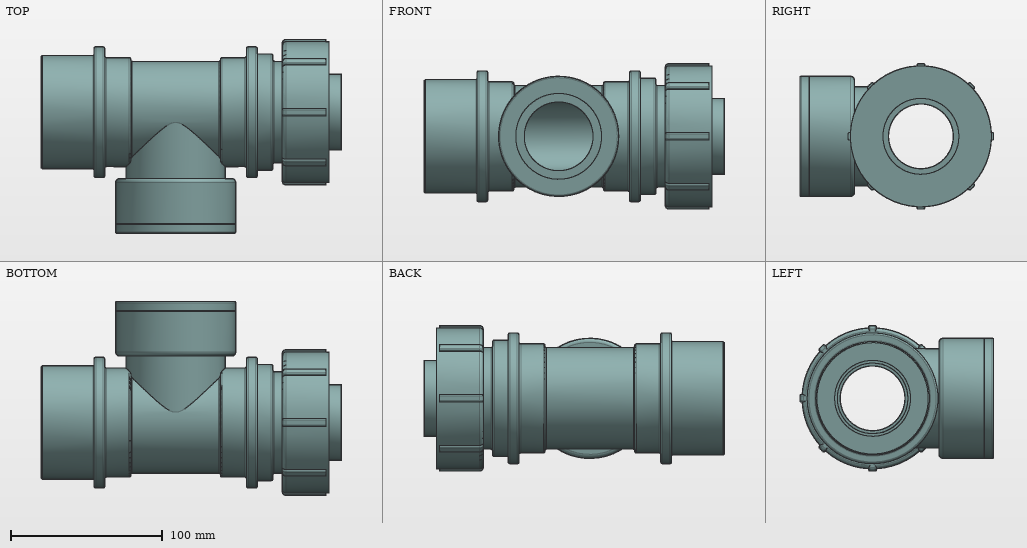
import cadquery as cq


overall_length = 198.0
branch_x = 88.7
left_flange_x = 34.8
flange_width = 7.1
collar_length = 17.2
left_collar_x = left_flange_x + flange_width
body_start_x = left_collar_x + collar_length
body_end_x = 2 * branch_x - body_start_x
right_flange_x = body_end_x + collar_length
thread_x = right_flange_x + flange_width
thread_end_x = 152.9
nut_x = 159.0
nut_length = 30.9
nut_end_x = nut_x + nut_length

spigot_dia = 75.0
flange_dia = 86.3
collar_dia = 72.0
body_dia = 67.1
thread_dia = 76.8
tail_dia = 50.0

spigot_chamfer = 0.8
spigot_root_fillet = 0.5
edge_fillet = 1.2
body_root_fillet = 0.8

socket_dia = 50.0
socket_depth = left_collar_x
run_bore_dia = 46.5
tail_bore_dia = 42.5

nut_dia = 93.0
nut_fillet = 2.4
nut_recess_dia = 81.5
nut_recess_depth = 2.4
rib_count = 8
rib_tip_dia = 96.0
rib_length = 28.7
rib_width = 5.1
rib_fillet = 1.0
rib_embed = 4.0

branch_dia = 65.7
branch_bore_dia = 45.3
overall_width = 128.0
branch_end = overall_width - rib_tip_dia / 2
cup_start = 43.8
cup_dia = 79.4
cup_back_fillet = 2.8
cup_rim_fillet = 1.0
cup_bore_dia = 56.6
cup_bore_depth = 30.0
groove_distance = 6.0
groove_width = 0.5
groove_depth = 0.2


def cylinder_x(start, end, diameter):
    """Cylinder on the run axis between two X stations."""
    return cq.Workplane("YZ", origin=(start, 0, 0)).circle(diameter / 2).extrude(end - start)


def cylinder_branch(start, end, diameter):
    """Cylinder on the branch axis between two distances from the run axis."""
    return cq.Workplane("XZ", origin=(branch_x, -start, 0)).circle(diameter / 2).extrude(end - start)


def circle_edges(solid, x, diameter):
    """Circular edges of the given diameter at station x on the run axis."""
    tolerance = 0.02

    def matches(edge):
        same_place = abs(edge.Center().x - x) < tolerance
        return same_place and edge.geomType() == "CIRCLE" and abs(edge.radius() - diameter / 2) < tolerance

    return solid.newObject([edge for edge in solid.edges().vals() if matches(edge)])


def make_run():
    """Spigot, flanges, collars, body and threaded neck, with their rounded edges."""
    steps = [
        (0, left_flange_x, spigot_dia),
        (left_flange_x, left_collar_x, flange_dia),
        (left_collar_x, body_start_x, collar_dia),
        (body_start_x, body_end_x, body_dia),
        (body_end_x, right_flange_x, collar_dia),
        (right_flange_x, thread_x, flange_dia),
        (thread_x, thread_end_x, thread_dia),
        (thread_end_x, nut_end_x, body_dia),
    ]
    run = cylinder_x(*steps[0])
    for step in steps[1:]:
        run = run.union(cylinder_x(*step))

    rounded = [
        (left_flange_x, spigot_dia, spigot_root_fillet),
        (left_flange_x, flange_dia, edge_fillet),
        (left_collar_x, flange_dia, edge_fillet),
        (left_collar_x, collar_dia, edge_fillet),
        (body_start_x, collar_dia, edge_fillet),
        (body_start_x, body_dia, body_root_fillet),
        (body_end_x, body_dia, body_root_fillet),
        (body_end_x, collar_dia, edge_fillet),
        (right_flange_x, collar_dia, edge_fillet),
        (right_flange_x, flange_dia, edge_fillet),
        (thread_x, flange_dia, edge_fillet),
        (thread_end_x, thread_dia, edge_fillet),
        (thread_end_x, body_dia, edge_fillet),
    ]
    for x, diameter, radius in rounded:
        run = circle_edges(run, x, diameter).fillet(radius)
    return circle_edges(run, 0, spigot_dia).chamfer(spigot_chamfer)


def make_rib():
    """One grip rib on the +Z side of the nut, its front corner rounded like the nut."""
    inner = nut_dia / 2 - rib_embed
    height = rib_tip_dia / 2 - inner
    rib = (
        cq.Workplane("XY", origin=(nut_x, 0, inner))
        .box(rib_length, rib_width, height, centered=(False, True, False))
        .faces("<X").edges(">Z").fillet(nut_fillet)
    )
    return rib.faces(">Z").edges("|X").fillet(rib_fillet)


def make_nut():
    nut = cylinder_x(nut_x, nut_end_x, nut_dia).faces("<X").edges().fillet(nut_fillet)
    nut = nut.cut(cylinder_x(nut_x, nut_x + nut_recess_depth, nut_recess_dia))
    rib = make_rib()
    for i in range(rib_count):
        nut = nut.union(rib.rotate((0, 0, 0), (1, 0, 0), i * 360 / rib_count))
    return nut


def make_branch():
    """Branch pipe and its end cup, with a fine groove near the rim."""
    cup = cylinder_branch(cup_start, branch_end, cup_dia)
    cup = cup.faces(">Y").edges().fillet(cup_back_fillet)
    cup = cup.faces("<Y").edges().fillet(cup_rim_fillet)
    groove_start = branch_end - groove_distance - groove_width
    groove_end = branch_end - groove_distance
    groove = cylinder_branch(groove_start, groove_end, cup_dia).cut(
        cylinder_branch(groove_start, groove_end, cup_dia - 2 * groove_depth)
    )
    return cylinder_branch(0, cup_start, branch_dia).union(cup.cut(groove))


def make_bores():
    """Stepped bore through the run joined with the counterbored branch."""
    bores = cylinder_x(0, overall_length, tail_bore_dia)
    bores = bores.union(cylinder_x(0, nut_x, run_bore_dia))
    bores = bores.union(cylinder_x(0, socket_depth, socket_dia))
    bores = bores.union(cylinder_branch(0, branch_end, branch_bore_dia))
    return bores.union(cylinder_branch(branch_end - cup_bore_depth, branch_end, cup_bore_dia))


tail = cylinder_x(nut_x, overall_length, tail_dia)
result = make_run().union(make_branch()).union(make_nut()).union(tail).cut(make_bores())